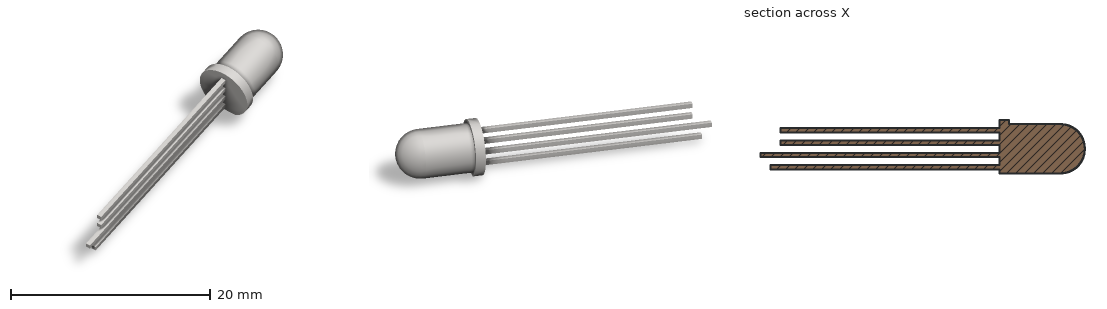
import cadquery as cq

total_length = 32.6
lens_radius = 2.5
barrel_length = 5.1
flange_radius = 2.9
flange_thickness = 1.0
lead_width = 0.5
lead_pitch = 1.25
lead_shortfalls = [2.0, 2.0, 0.0, 1.0]

lens_length = flange_thickness + barrel_length + lens_radius
longest_lead = total_length - lens_length


def make_lens():
    """Cylindrical barrel with a hemispherical tip, revolved about the Y axis."""
    dome_start = flange_thickness + barrel_length
    return (
        cq.Workplane("XY")
        .lineTo(lens_radius, 0)
        .lineTo(lens_radius, dome_start)
        .radiusArc((0, lens_length), -lens_radius)
        .close()
        .revolve(360, (0, 0, 0), (0, 1, 0))
    )


def make_flange():
    """Round flange with a flat underside level with the barrel."""
    disc = cq.Workplane("XZ").circle(flange_radius).extrude(-flange_thickness)
    keep_height = flange_radius + lens_radius
    above_flat = cq.Workplane("XY").box(
        2 * flange_radius, flange_thickness, keep_height, centered=(True, False, False)
    ).translate((0, 0, -lens_radius))
    return disc.intersect(above_flat)


def make_lead(length, height):
    """Square lead centred at the given Z height."""
    return (
        cq.Workplane("XZ")
        .center(0, height)
        .rect(lead_width, lead_width)
        .extrude(length)
    )


result = make_lens().union(make_flange())
top_lead_height = lead_pitch * (len(lead_shortfalls) - 1) / 2
for index, shortfall in enumerate(lead_shortfalls):
    lead_height = top_lead_height - index * lead_pitch
    result = result.union(make_lead(longest_lead - shortfall, lead_height))